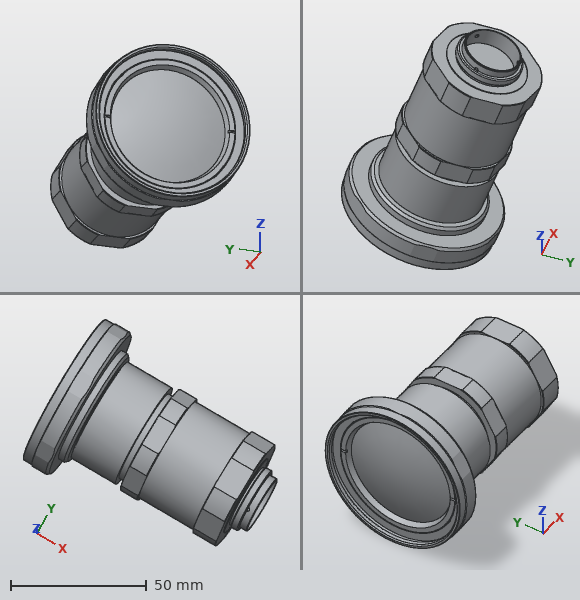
import cadquery as cq
import math

LENGTH = 84.85

GRIP_START = 3.8
HOOD_END = 11.1
COLLAR_END = 14.6
BARREL_START = 15.1
BARREL_END = 34.1
FOCUS_START = 36.7
FOCUS_END = 44.2
REAR_GRIP_START = 67.8
REAR_GRIP_END = 77.7
MOUNT_PLATE_END = 78.1
MOUNT_FLANGE_START = 78.9
MOUNT_FLANGE_END = 81.9

RIM_RADIUS = 30.0
HOOD_GRIP_RADIUS = 30.42
HOOD_FLAT_DISTANCE = 30.08
HOOD_BACK_CHAMFER_LENGTH = 1.1
HOOD_BACK_CHAMFER_DEPTH = 0.85
HOOD_MOUTH_RADIUS = 28.9
HOOD_MOUTH_DEPTH = 0.5
HOOD_BORE_RADIUS = 28.4
HOOD_BORE_DEPTH = 2.0
HOOD_RELIEF_RADIUS = 28.9
HOOD_FLOOR_DEPTH = 3.65

RETAINER_RADIUS = 25.3
RETAINER_CLEARANCE = 0.3
RETAINER_FRONT = HOOD_FLOOR_DEPTH
RETAINER_OPENING_RADIUS = 23.25
RETAINER_SLOT_WIDTH = 0.85
RETAINER_SLOT_DEPTH = 0.85
LENS_RADIUS = 22.2
LENS_EDGE = 5.9
LENS_BULGE = 3.8
LENS_SEAT = 7.6

COLLAR_RADIUS = 23.2
COLLAR_CHAMFER = 1.0
COLLAR_NECK_RADIUS = 18.6
BARREL_RADIUS = 20.58
FOCUS_NECK_RADIUS = 18.1

GRIP_RADIUS = 21.6
GRIP_FLAT_DISTANCE = 20.7

MOUNT_PLATE_RADIUS = 15.8
MOUNT_NECK_RADIUS = 12.2
MOUNT_FLANGE_RADIUS = 12.77
MOUNT_FLANGE_CHAMFER = 0.3
MOUNT_END_RADIUS = 11.16
MOUNT_BORE_RADIUS = 10.5
MOUNT_HOLE_RADIUS = 0.8
MOUNT_HOLE_X = 81.9
MOUNT_HOLE_COUNT = 3

FLAT_COUNT = 6
FIRST_FLAT_ANGLE = 30.0
EDGE_CHAMFER = 0.25


def revolve(points):
    """Solid of revolution about X from a closed outline of (x, radius) points."""
    return cq.Workplane("XY").polyline(points).close().revolve(360, (0, 0, 0), (1, 0, 0))


def cylinder(start, end, radius):
    return cq.Workplane("YZ").workplane(offset=start).circle(radius).extrude(end - start)


def cut_flats(body, start, end, flat_distance, outer_radius):
    """Cut evenly spaced grip flats into the stretch of the body from start to end."""
    depth = outer_radius - flat_distance
    for i in range(FLAT_COUNT):
        cutter = (
            cq.Workplane("XY")
            .box(end - start, 2 * depth, 2 * outer_radius)
            .translate(((start + end) / 2, flat_distance + depth, 0))
            .rotate((0, 0, 0), (1, 0, 0), FIRST_FLAT_ANGLE + i * 360 / FLAT_COUNT)
        )
        body = body.cut(cutter)
    return body


def make_hood():
    """Front ring: plain rim, grip with flats, and a relieved opening."""
    retainer_bore_radius = RETAINER_RADIUS + RETAINER_CLEARANCE
    hood = revolve([
        (0, HOOD_MOUTH_RADIUS),
        (0, RIM_RADIUS - EDGE_CHAMFER),
        (EDGE_CHAMFER, RIM_RADIUS),
        (GRIP_START, RIM_RADIUS),
        (GRIP_START + EDGE_CHAMFER, HOOD_GRIP_RADIUS),
        (HOOD_END - HOOD_BACK_CHAMFER_LENGTH, HOOD_GRIP_RADIUS),
        (HOOD_END, HOOD_GRIP_RADIUS - HOOD_BACK_CHAMFER_DEPTH),
        (HOOD_END, COLLAR_RADIUS),
        (LENS_SEAT, COLLAR_RADIUS),
        (LENS_SEAT, retainer_bore_radius),
        (HOOD_FLOOR_DEPTH, retainer_bore_radius),
        (HOOD_FLOOR_DEPTH, HOOD_RELIEF_RADIUS),
        (HOOD_BORE_DEPTH, HOOD_RELIEF_RADIUS),
        (HOOD_BORE_DEPTH, HOOD_BORE_RADIUS),
        (HOOD_MOUTH_DEPTH, HOOD_BORE_RADIUS),
    ])
    return cut_flats(hood, GRIP_START, HOOD_END, HOOD_FLAT_DISTANCE, HOOD_GRIP_RADIUS)


def make_retainer():
    """Lens retaining ring with a conical opening and two spanner slots."""
    ring = revolve([
        (RETAINER_FRONT, RETAINER_OPENING_RADIUS),
        (RETAINER_FRONT, RETAINER_RADIUS),
        (LENS_SEAT, RETAINER_RADIUS),
        (LENS_SEAT, LENS_RADIUS),
        (LENS_EDGE, LENS_RADIUS),
    ])
    slots = (
        cq.Workplane("XY")
        .box(2 * RETAINER_SLOT_DEPTH, 2 * RETAINER_RADIUS, RETAINER_SLOT_WIDTH)
        .translate((RETAINER_FRONT, 0, 0))
    )
    return ring.cut(slots)


def make_lens():
    """Front lens: spherical front face, flat back."""
    sphere_radius = (LENS_RADIUS**2 + LENS_BULGE**2) / (2 * LENS_BULGE)
    apex = LENS_EDGE - LENS_BULGE
    half_angle = math.asin(LENS_RADIUS / sphere_radius) / 2
    arc_middle = (apex + sphere_radius * (1 - math.cos(half_angle)), sphere_radius * math.sin(half_angle))
    return (
        cq.Workplane("XY")
        .moveTo(apex, 0)
        .threePointArc(arc_middle, (LENS_EDGE, LENS_RADIUS))
        .lineTo(LENS_SEAT, LENS_RADIUS)
        .lineTo(LENS_SEAT, 0)
        .close()
        .revolve(360, (0, 0, 0), (1, 0, 0))
    )


def make_front_barrel():
    """Front barrel: chamfered collar, relief neck, main diameter and focus neck."""
    return revolve([
        (LENS_SEAT, 0),
        (LENS_SEAT, COLLAR_RADIUS),
        (COLLAR_END - COLLAR_CHAMFER, COLLAR_RADIUS),
        (COLLAR_END, COLLAR_RADIUS - COLLAR_CHAMFER),
        (COLLAR_END, COLLAR_NECK_RADIUS),
        (BARREL_START, COLLAR_NECK_RADIUS),
        (BARREL_START, BARREL_RADIUS),
        (BARREL_END, BARREL_RADIUS),
        (BARREL_END, FOCUS_NECK_RADIUS),
        (FOCUS_START, FOCUS_NECK_RADIUS),
        (FOCUS_START, 0),
    ])


def make_grip(start, end):
    """Grip with chamfered ends and six flats."""
    grip = cylinder(start, end, GRIP_RADIUS).edges().chamfer(EDGE_CHAMFER)
    return cut_flats(grip, start, end, GRIP_FLAT_DISTANCE, GRIP_RADIUS)


def make_rear_barrel():
    return cylinder(FOCUS_END, REAR_GRIP_START, BARREL_RADIUS)


def make_mount():
    """Camera mount: plate, neck, chamfered flange and hollow end with radial holes."""
    mount = revolve([
        (REAR_GRIP_END, 0),
        (REAR_GRIP_END, MOUNT_PLATE_RADIUS),
        (MOUNT_PLATE_END, MOUNT_PLATE_RADIUS),
        (MOUNT_PLATE_END, MOUNT_NECK_RADIUS),
        (MOUNT_FLANGE_START, MOUNT_NECK_RADIUS),
        (MOUNT_FLANGE_START + MOUNT_FLANGE_CHAMFER, MOUNT_FLANGE_RADIUS),
        (MOUNT_FLANGE_END - MOUNT_FLANGE_CHAMFER, MOUNT_FLANGE_RADIUS),
        (MOUNT_FLANGE_END, MOUNT_NECK_RADIUS),
        (MOUNT_FLANGE_END, MOUNT_END_RADIUS),
        (LENGTH - EDGE_CHAMFER, MOUNT_END_RADIUS),
        (LENGTH, MOUNT_END_RADIUS - EDGE_CHAMFER),
        (LENGTH, MOUNT_BORE_RADIUS),
        (MOUNT_PLATE_END, MOUNT_BORE_RADIUS),
        (MOUNT_PLATE_END, 0),
    ])
    for i in range(MOUNT_HOLE_COUNT):
        hole = (
            cq.Workplane("XZ", origin=(MOUNT_HOLE_X, 0, 0))
            .circle(MOUNT_HOLE_RADIUS)
            .extrude(-MOUNT_END_RADIUS)
            .rotate((0, 0, 0), (1, 0, 0), i * 360 / MOUNT_HOLE_COUNT)
        )
        mount = mount.cut(hole)
    return mount


hood = make_hood()
retainer = make_retainer()
lens = make_lens()
front_barrel = make_front_barrel()
focus_grip = make_grip(FOCUS_START, FOCUS_END)
rear_barrel = make_rear_barrel()
rear_grip = make_grip(REAR_GRIP_START, REAR_GRIP_END)
mount = make_mount()

result = cq.Compound.makeCompound([
    hood.val(),
    retainer.val(),
    lens.val(),
    front_barrel.val(),
    focus_grip.val(),
    rear_barrel.val(),
    rear_grip.val(),
    mount.val(),
])